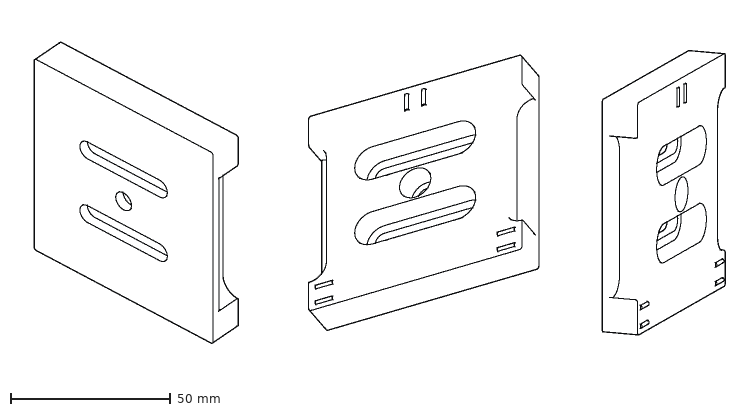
import cadquery as cq
import math

PLATE_SIZE = 75.0
PLATE_THICKNESS = 12.0
PLATE_CORNER_RADIUS = 1.0
TOP_CROWN = 0.01

NOTCH_LENGTH = 52.0
NOTCH_DEPTH = 6.0
NOTCH_FLOOR = 3.5
RIM_RADIUS = 0.8
LIP_RADIUS = 1.0

SHANK_WIDTH = 6.6
HEAD_WIDTH = 12.5
HOLE_HEAD_WIDTH = 11.0
SEAT_THICKNESS = 3.5
SLOT_CENTRE_LENGTH = 30.0
SLOT_OFFSET = 12.5

ROD_DIAMETER = 1.5
ROD_LENGTH = 6.0
ROD_PROTRUSION = 0.5
ROD_HALF_SPACING = 3.0
PAIR_OFFSET = 32.0
ROD_AXIS_Y = PLATE_THICKNESS + ROD_PROTRUSION - ROD_DIAMETER / 2

HALF = PLATE_SIZE / 2


def xz_plane(y, x=0, z=0):
    """Workplane parallel to XZ at depth y; a negative extrude runs toward the back (+Y)."""
    return cq.Workplane("XZ", origin=(x, y, z))


def make_outline_prism():
    """Square prism with rounded corners and a barely crowned top, as thick as the plate."""
    outline = [(-HALF, -HALF), (HALF, -HALF), (HALF, HALF), (0, HALF + TOP_CROWN), (-HALF, HALF)]
    prism = xz_plane(0).polyline(outline).close().extrude(-PLATE_THICKNESS)
    return prism.edges("|Y and (<X or >X)").fillet(PLATE_CORNER_RADIUS)


def make_notched_slab():
    """Oversized slab with two round-ended, round-rimmed pockets, trimmed to the plate outline.

    Each pocket is cut whole, centred on an edge of the plate, so trimming leaves half of it.
    """
    pockets = (
        xz_plane(NOTCH_FLOOR)
        .pushPoints([(-HALF, 0), (HALF, 0)])
        .slot2D(NOTCH_LENGTH, 2 * NOTCH_DEPTH, 90)
        .extrude(NOTCH_FLOOR - PLATE_THICKNESS)
    )
    slab = (
        xz_plane(0)
        .rect(2 * PLATE_SIZE, 2 * PLATE_SIZE)
        .extrude(-PLATE_THICKNESS)
        .cut(pockets)
    )
    outer_sides = "<X or >X or <Z or >Z"
    rims = slab.faces(">Y").edges(f"not ({outer_sides})")
    return rims.fillet(RIM_RADIUS).intersect(make_outline_prism())


def lip_cutter(side):
    """Waste outside the rounded lip of a notch floor; side is -1 for -X, +1 for +X."""
    arc_shift = LIP_RADIUS * (1 - math.sqrt(0.5))
    return (
        cq.Workplane("XY", origin=(side * HALF, NOTCH_FLOOR, -NOTCH_LENGTH / 2))
        .lineTo(-side * LIP_RADIUS, 0)
        .threePointArc((-side * arc_shift, -arc_shift), (0, -LIP_RADIUS))
        .close()
        .extrude(NOTCH_LENGTH)
    )


def slot_cutter(z):
    """Stepped slot along X: screw-shank width in front, screw-head width behind the seat."""
    shank = (
        xz_plane(0, z=z)
        .slot2D(SLOT_CENTRE_LENGTH + SHANK_WIDTH, SHANK_WIDTH)
        .extrude(-PLATE_THICKNESS)
    )
    head = (
        xz_plane(SEAT_THICKNESS, z=z)
        .slot2D(SLOT_CENTRE_LENGTH + HEAD_WIDTH, HEAD_WIDTH)
        .extrude(SEAT_THICKNESS - PLATE_THICKNESS)
    )
    return shank.union(head)


def centre_hole_cutter():
    """Counterbored hole in the middle of the plate, stepped like the slots."""
    shank = xz_plane(0).circle(SHANK_WIDTH / 2).extrude(-PLATE_THICKNESS)
    head = (
        xz_plane(SEAT_THICKNESS)
        .circle(HOLE_HEAD_WIDTH / 2)
        .extrude(SEAT_THICKNESS - PLATE_THICKNESS)
    )
    return shank.union(head)


def make_rod(x, z, direction):
    """Locating rod centred at (x, z), lying along the given direction."""
    centre = cq.Vector(x, ROD_AXIS_Y, z)
    start = centre - direction * (ROD_LENGTH / 2)
    return cq.Solid.makeCylinder(ROD_DIAMETER / 2, ROD_LENGTH, start, direction)


def make_rods():
    """Upright pair at the top middle, level pairs at the two lower corners."""
    along_x = cq.Vector(1, 0, 0)
    along_z = cq.Vector(0, 0, 1)
    pairs = []
    for shift in (-ROD_HALF_SPACING, ROD_HALF_SPACING):
        pairs.append(make_rod(shift, PAIR_OFFSET, along_z))
        for side in (-1, 1):
            pairs.append(make_rod(side * PAIR_OFFSET, shift - PAIR_OFFSET, along_x))
    return pairs


def make_plate(sunk_rods):
    """Notched slab with its lips, fixing openings and a matching groove for every rod."""
    plate = make_notched_slab()
    for side in (-1, 1):
        plate = plate.cut(lip_cutter(side))
        plate = plate.cut(slot_cutter(side * SLOT_OFFSET))
    plate = plate.cut(centre_hole_cutter())
    for rod in sunk_rods:
        plate = plate.cut(cq.Workplane(rod))
    return plate


rods = make_rods()
plate = make_plate(rods)

result = cq.Compound.makeCompound([plate.val(), *rods])